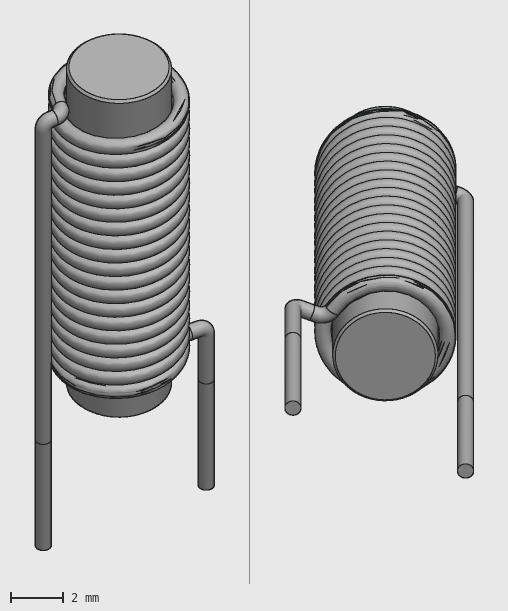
import cadquery as cq
import math


core_diameter = 4.0
core_length = 16.0
core_chamfer = 0.1

wire_diameter = 0.62
wire_radius = wire_diameter / 2
coil_outer_diameter = 5.37
coil_radius = (coil_outer_diameter - wire_diameter) / 2
coil_pitch = 0.683
coil_center_z = -0.03
nominal_turns = 19.5
end_setback = 10.0

front_lead_offset = 3.3
back_lead_offset = 3.8
lead_bend_radius = 0.33
back_straight = 0.2
tip_length = 5.35
tip_bottom_z = -14.69
tip_top_z = tip_bottom_z + tip_length

coil_turns = nominal_turns - 2 * end_setback / 360
coil_height = coil_pitch * coil_turns
helix_angle = math.atan2(coil_pitch, 2 * math.pi * coil_radius)
setback = math.radians(end_setback)

coil_end = cq.Vector(
    -coil_radius * math.sin(setback),
    -coil_radius * math.cos(setback),
    coil_height / 2,
)
coil_end_direction = cq.Vector(
    math.cos(helix_angle) * math.cos(setback),
    -math.cos(helix_angle) * math.sin(setback),
    math.sin(helix_angle),
)

outward = cq.Vector(0, -1, 0)
elbow_tangent_length = -coil_end.x / coil_end_direction.x
elbow_corner = coil_end + coil_end_direction * elbow_tangent_length
elbow_end = elbow_corner + outward * elbow_tangent_length


def make_core():
    rod = cq.Workplane("XY").circle(core_diameter / 2).extrude(core_length / 2, both=True)
    return rod.faces("|Z").edges().chamfer(core_chamfer).solids()


def make_coil():
    """Right-handed winding, from just past +Y at the bottom to just short of -Y at the top."""
    helix = cq.Wire.makeHelix(coil_pitch, coil_height, coil_radius)
    start_direction = cq.Vector(0, math.cos(helix_angle), math.sin(helix_angle))
    start_plane = cq.Plane(origin=(coil_radius, 0, 0), xDir=(1, 0, 0), normal=start_direction)
    winding = cq.Workplane(start_plane).circle(wire_radius).sweep(cq.Workplane(helix), isFrenet=True)
    start_angle = 90 + end_setback
    bottom_z = coil_center_z - coil_height / 2
    return winding.rotate((0, 0, 0), (0, 0, 1), start_angle).translate((0, 0, bottom_z))


def make_elbow(straight):
    """Bend at the top end of a winding centred on the origin, then a straight stretch outward."""
    path_edges = [cq.Edge.makeTangentArc(coil_end, coil_end_direction, elbow_end)]
    if straight > 0:
        path_edges.append(cq.Edge.makeLine(elbow_end, elbow_end + outward * straight))
    path = cq.Workplane(cq.Wire.assembleEdges(path_edges))
    start_plane = cq.Plane(origin=coil_end, xDir=(coil_end.x, coil_end.y, 0), normal=coil_end_direction)
    return cq.Workplane(start_plane).circle(wire_radius).sweep(path)


def make_lead(side, offset, start_offset, lead_z):
    """Lead on one side (-1 front, +1 back): straight outward, then bent down to its tip."""
    bend_start = offset - lead_bend_radius
    path = (
        cq.Workplane("YZ")
        .moveTo(side * start_offset, lead_z)
        .lineTo(side * bend_start, lead_z)
        .tangentArcPoint((side * offset, lead_z - lead_bend_radius), relative=False)
        .lineTo(side * offset, tip_top_z)
    )
    start_plane = cq.Plane(origin=(0, side * start_offset, lead_z), xDir=(1, 0, 0), normal=(0, side, 0))
    return cq.Workplane(start_plane).circle(wire_radius).sweep(path)


def make_tip(side, offset):
    """Straight end of a lead."""
    base = cq.Workplane("XY", origin=(0, side * offset, tip_bottom_z))
    return base.circle(wire_radius).extrude(tip_length)


core = make_core()
coil = make_coil()

front_elbow = make_elbow(0).translate((0, 0, coil_center_z))
back_elbow = make_elbow(back_straight).rotate((0, 0, 0), (1, 0, 0), 180).translate((0, 0, coil_center_z))

front_lead_start = -elbow_end.y
back_lead_start = front_lead_start + back_straight
front_lead = make_lead(-1, front_lead_offset, front_lead_start, coil_center_z + elbow_end.z)
back_lead = make_lead(1, back_lead_offset, back_lead_start, coil_center_z - elbow_end.z)

bodies = [core, coil, front_elbow, back_elbow, front_lead, back_lead]
for side, offset in [(-1, front_lead_offset), (1, back_lead_offset)]:
    bodies.append(make_tip(side, offset))

result = cq.Compound.makeCompound([body.val() for body in bodies])